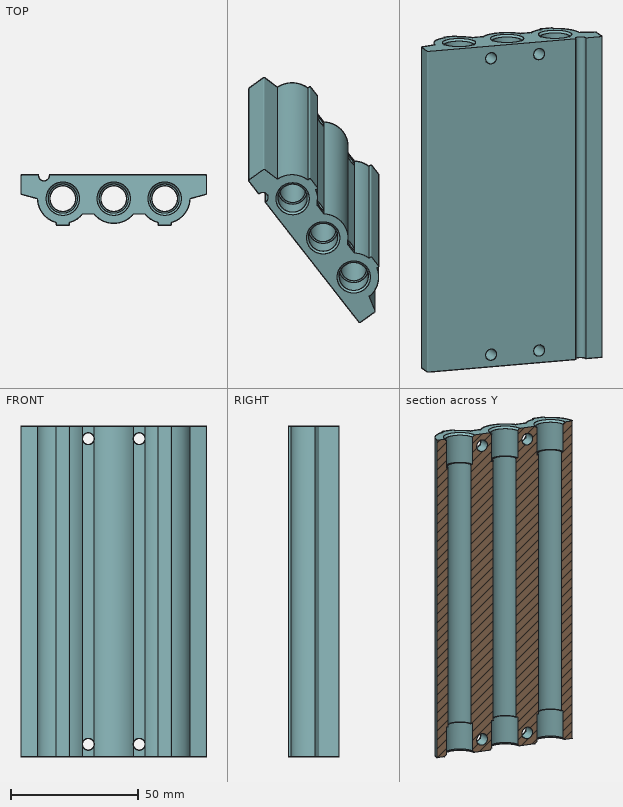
import cadquery as cq
import math

length = 130.0
width = 72.9
depth = 20.0
bore_pitch = 20.0
bore_setback = 9.5
boss_radius = 10.0
web_depth = 15.6

wing_depth = 7.8
wing_angle = 15.0
edge_radius = 0.5
pad_width = 5.2
pad_height = 0.8
pad_edge_radius = 0.4

bore_diameter = 10.0
port_diameter = 11.5
port_mouth_diameter = 13.1
port_depth = 12.0
mouth_depth = (port_mouth_diameter - port_diameter) / 2

mount_diameter = 4.5
mount_end_distance = 5.0

slot_width = 4.2
slot_depth = 2.5
slot_offset = 27.4

back_y = depth / 2
front_y = -depth / 2
bore_y = back_y - bore_setback
boss_y = front_y + pad_height + boss_radius
bore_xs = [-bore_pitch, 0, bore_pitch]


def block(x_min, x_max, y_min, y_max):
    """Full-length rectangular bar between the given X and Y limits."""
    return (
        cq.Workplane("XY")
        .box(x_max - x_min, y_max - y_min, length, centered=False)
        .translate((x_min, y_min, -length / 2))
    )


def rod(x, y, diameter):
    """Full-length round bar along Z."""
    return cq.Workplane("XY").center(x, y).circle(diameter / 2).extrude(length / 2, both=True)


def winged_plate():
    """Back plate whose two wings slope down towards the outer bosses."""
    half_width = width / 2
    boss_side = bore_pitch + boss_radius
    wing_y = back_y - wing_depth
    root_y = wing_y - (half_width - boss_side) * math.tan(math.radians(wing_angle))
    plate = (
        cq.Workplane("XY")
        .polyline([
            (-half_width, back_y),
            (half_width, back_y),
            (half_width, wing_y),
            (boss_side, root_y),
            (-boss_side, root_y),
            (-half_width, wing_y),
        ])
        .close()
        .extrude(length / 2, both=True)
    )
    return plate.edges("|Z and (<X or >X)").fillet(edge_radius)


def body():
    """Plate, web, three tube bosses and the two foot pads."""
    solid = winged_plate()
    solid = solid.union(block(-bore_pitch, bore_pitch, back_y - web_depth, back_y))
    front_half = block(-width / 2, width / 2, front_y, boss_y)
    for x in bore_xs:
        boss = rod(x, boss_y, 2 * boss_radius)
        solid = solid.union(boss.intersect(front_half))
    for x in (-bore_pitch, bore_pitch):
        pad = block(x - pad_width / 2, x + pad_width / 2, front_y, bore_y)
        pad = pad.edges("|Z and <Y").fillet(pad_edge_radius)
        solid = solid.union(pad)
    return solid


def bore_cutter(x):
    """Through bore with a wider, chamfered port at both ends."""
    half = length / 2
    bore_r = bore_diameter / 2
    port_r = port_diameter / 2
    mouth_r = port_mouth_diameter / 2
    return (
        cq.Workplane("XZ")
        .polyline([
            (0, half),
            (mouth_r, half),
            (port_r, half - mouth_depth),
            (port_r, half - port_depth),
            (bore_r, half - port_depth),
            (bore_r, port_depth - half),
            (port_r, port_depth - half),
            (port_r, mouth_depth - half),
            (mouth_r, -half),
            (0, -half),
        ])
        .close()
        .revolve(360, (0, 0, 0), (0, 1, 0))
        .translate((x, bore_y, 0))
    )


def slot_cutter():
    """Round-bottomed groove along the back face."""
    slot_radius = slot_width / 2
    axis_y = back_y - slot_depth + slot_radius
    straight = block(-slot_offset - slot_radius, -slot_offset + slot_radius, axis_y, back_y)
    return straight.union(rod(-slot_offset, axis_y, slot_width))


def mount_cutter():
    """Four holes through the web, between neighbouring bores."""
    hole_z_pitch = length - 2 * mount_end_distance
    return (
        cq.Workplane("XZ")
        .rarray(bore_pitch, hole_z_pitch, 2, 2)
        .circle(mount_diameter / 2)
        .extrude(depth, both=True)
    )


result = body().cut(slot_cutter()).cut(mount_cutter())
for x in bore_xs:
    result = result.cut(bore_cutter(x))